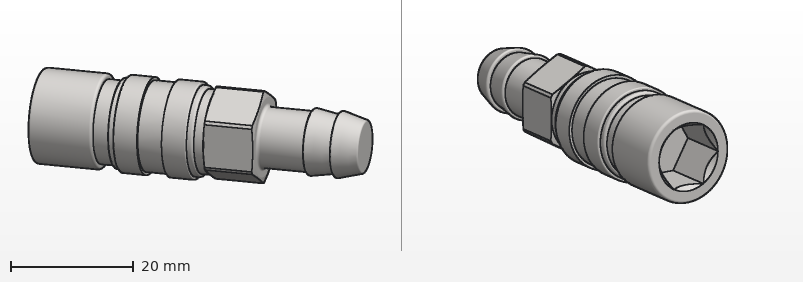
import cadquery as cq
import math

LENGTH = 55.05

HEAD_DIA = 15.8
NECK_DIA = 14.0
COLLAR_DIA = 15.1
RING_DIA = 16.15
STEM_DIA = 10.1
BARB_DIA = 11.3
BARB_ROOT_DIA = 9.7
TIP_DIA = 8.8

HEAD_END = 10.85
COLLAR_START = 13.45
COLLAR_END = 27.95
COLLAR_LIP = 1.1
RING_WIDTH = 4.1
NUT_START = 29.5
NUT_END = 38.05
BARB_START = 45.95
TIP_BARB_START = 50.55

NUT_FLATS = NECK_DIA
NUT_CORNER_DIA = HEAD_DIA
NUT_FACE_DIA = 13.2
NUT_CHAMFER_ANGLE = 10
NUT_TURN = 90

SOCKET_FLATS = 10.1
SOCKET_DEPTH = 8.8
SOCKET_MOUTH_ANGLE = 35
SOCKET_MOUTH_DIA = 11.55

HEAD_FILLET = 0.5
COLLAR_FILLET = 0.45
RING_FILLET = 0.2
STEM_FILLET = 0.55
BARB_FILLET = 0.35
TIP_FILLET = 0.35


def cylinder(start, end, diameter):
    """Solid cylinder on the X axis between two stations."""
    return cq.Workplane("YZ", origin=(start, 0, 0)).circle(diameter / 2).extrude(end - start)


def hexagon(start, end, flats):
    """Hexagonal bar on the X axis with two corners pointing along Y."""
    corner_dia = flats / math.cos(math.pi / 6)
    return cq.Workplane("YZ", origin=(start, 0, 0)).polygon(6, corner_dia).extrude(end - start)


def revolve(profile):
    """Turn a closed (x, radius) outline about the X axis."""
    return cq.Workplane("XY").polyline(profile).close().revolve(360, (0, 0, 0), (1, 0, 0))


def make_head():
    return cylinder(0, HEAD_END, HEAD_DIA).edges().fillet(HEAD_FILLET)


def make_ring(start, outer_face):
    """Grip ring with its rim rounded on the side facing away from the groove."""
    ring = cylinder(start, start + RING_WIDTH, RING_DIA)
    return ring.faces(outer_face).edges().fillet(RING_FILLET)


def make_sleeve():
    """Collar with two grip rings, leaving a groove between them."""
    collar = cylinder(COLLAR_START, COLLAR_END, COLLAR_DIA).edges().fillet(COLLAR_FILLET)
    first_ring = make_ring(COLLAR_START + COLLAR_LIP, "<X")
    last_ring = make_ring(COLLAR_END - COLLAR_LIP - RING_WIDTH, ">X")
    return collar.union(first_ring).union(last_ring)


def make_nut():
    """Hexagonal nut trimmed by a cylinder with coned ends."""
    face_radius = NUT_FACE_DIA / 2
    corner_radius = NUT_CORNER_DIA / 2
    chamfer = (corner_radius - face_radius) * math.tan(math.radians(NUT_CHAMFER_ANGLE))
    envelope = revolve([
        (NUT_START, 0),
        (NUT_START, face_radius),
        (NUT_START + chamfer, corner_radius),
        (NUT_END - chamfer, corner_radius),
        (NUT_END, face_radius),
        (NUT_END, 0),
    ])
    bar = hexagon(NUT_START, NUT_END, NUT_FLATS).rotate((0, 0, 0), (1, 0, 0), NUT_TURN)
    return bar.intersect(envelope)


def make_stem():
    """Plain stem with a flared root where it meets the nut."""
    stem_radius = STEM_DIA / 2
    outline = (
        cq.Workplane("XY")
        .moveTo(NUT_END, 0)
        .lineTo(NUT_END, stem_radius + STEM_FILLET)
        .radiusArc((NUT_END + STEM_FILLET, stem_radius), -STEM_FILLET)
        .lineTo(BARB_START, stem_radius)
        .lineTo(BARB_START, 0)
        .close()
    )
    return outline.revolve(360, (0, 0, 0), (1, 0, 0))


def make_barb(start, end, end_dia):
    """Tapered barb with a square back face and a rounded crest."""
    barb = revolve([(start, 0), (start, BARB_DIA / 2), (end, end_dia / 2), (end, 0)])
    return barb.faces("<X").edges().fillet(BARB_FILLET)


def make_socket():
    """Blind hexagonal socket with a conical mouth."""
    mouth_radius = SOCKET_MOUTH_DIA / 2
    cone_height = mouth_radius / math.tan(math.radians(SOCKET_MOUTH_ANGLE))
    mouth = revolve([(0, 0), (0, mouth_radius), (cone_height, 0)])
    return hexagon(0, SOCKET_DEPTH, SOCKET_FLATS).union(mouth)


neck = cylinder(HEAD_FILLET, NUT_START, NECK_DIA)
rear_barb = make_barb(BARB_START, TIP_BARB_START, BARB_ROOT_DIA)
tip_barb = make_barb(TIP_BARB_START, LENGTH, TIP_DIA).faces(">X").edges().fillet(TIP_FILLET)

result = (
    make_head()
    .union(neck)
    .union(make_sleeve())
    .union(make_nut())
    .union(make_stem())
    .union(rear_barb)
    .union(tip_barb)
    .cut(make_socket())
)